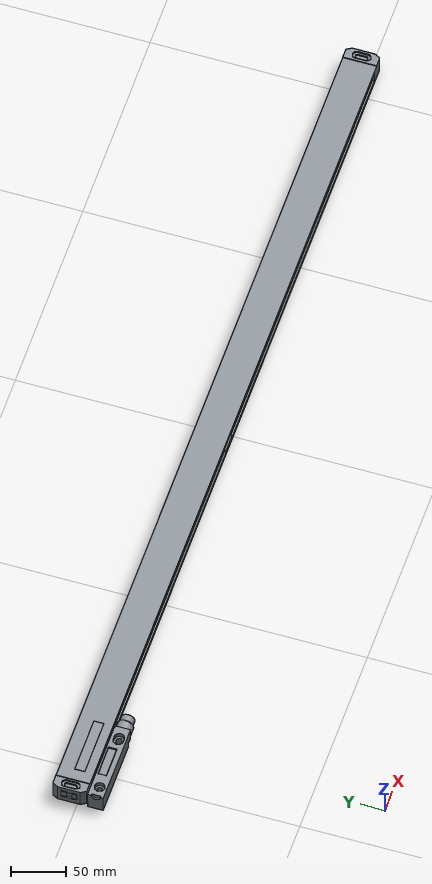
import cadquery as cq

TOTAL_LENGTH = 875.0
TOTAL_WIDTH = 49.0
HEIGHT = 18.0
HOUSING_WIDTH = 32.0
HOUSING_MIDDLE = HOUSING_WIDTH / 2
MID_HEIGHT = HEIGHT / 2

CAP_LENGTH = 12.0
RAIL_DROP = 1.0
RAIL_LENGTH = TOTAL_LENGTH - 2 * CAP_LENGTH
RAIL_TOP = HEIGHT - RAIL_DROP

CHANNEL_INSET = 18.0
CHANNEL_LENGTH = TOTAL_LENGTH - 2 * CHANNEL_INSET
CHANNEL_DEPTH = 2.0
LIP_HEIGHT = 3.5
TAB_LENGTH = 17.5
TAB_HEIGHT = 3.0
UPPER_TAB_START = 810.0
LOWER_TAB_START = 416.5

CAP_CORNER_LENGTH = 3.1
CAP_CORNER_WIDTH = 5.0
SLOT_SPAN = 17.5
SLOT_WIDTH = 8.0
SLOT_DEPTH = 2.0
INNER_SLOT_SPAN = 12.0
INNER_SLOT_WIDTH = 4.0
INNER_SLOT_DEPTH = 3.5
RECESS_SPAN = 15.0
RECESS_HEIGHT = 8.0
RECESS_DEPTH = 1.0
INNER_RECESS_SPAN = 5.0
INNER_RECESS_DEPTH = 2.0

LABEL_START = 24.5
LABEL_LENGTH = 57.0
LABEL_WIDTH = 10.0
LABEL_FRONT = 9.0
LABEL_DEPTH = 0.4

HEAD_GAP = 2.0
HEAD_LENGTH = 81.0
HEAD_FRONT = HOUSING_WIDTH - TOTAL_WIDTH
HEAD_BACK = -HEAD_GAP
HEAD_WIDTH = HEAD_BACK - HEAD_FRONT
LEDGE_START = 25.0
LEDGE_LENGTH = 31.5
LEDGE_BACK = -3.5
LEDGE_WIDTH = 8.0
LEDGE_DEPTH = 2.0
FOOT_LENGTH = 6.0
FOOT_HEIGHT = 5.0
NOTCH_RADIUS = 4.0
NOTCH_DEPTH = 2.0

SCREW_Y = -10.0
ROUND_SCREW_X = 11.0
SLOTTED_SCREW_X = 68.0
SCREW_DIAMETER = 5.0
SEAT_DIAMETER = 10.0
SEAT_DEPTH = 4.0
SLOT_TRAVEL = 3.0

OUTLET_Y = -9.0
GLAND_DIAMETER = 16.0
GLAND_LENGTH = 10.0
CABLE_DIAMETER = 13.0
CABLE_LENGTH = 8.0


def block(x, y, z, length, width, height):
    """Box with its lowest corner at the given point."""
    return cq.Workplane("XY").box(length, width, height, centered=False).translate((x, y, z))


def cap_slot(span, width, depth):
    """Round-ended slot across the cap, sunk from its top face."""
    top = cq.Workplane("XY", origin=(CAP_LENGTH / 2, HOUSING_MIDDLE, HEIGHT))
    return top.slot2D(span, width, 90).extrude(-depth)


def make_left_cap():
    cap = block(0, 0, 0, CAP_LENGTH, HOUSING_WIDTH, HEIGHT)
    corner = (
        cq.Workplane("XY")
        .polyline([(0, 0), (CAP_CORNER_LENGTH, 0), (0, CAP_CORNER_WIDTH)])
        .close()
        .extrude(HEIGHT)
    )
    cap = cap.cut(corner).cut(corner.mirror("XZ", (0, HOUSING_MIDDLE, 0)))
    cap = cap.cut(cap_slot(SLOT_SPAN, SLOT_WIDTH, SLOT_DEPTH))
    cap = cap.cut(cap_slot(INNER_SLOT_SPAN, INNER_SLOT_WIDTH, INNER_SLOT_DEPTH))
    end = cq.Workplane("YZ", origin=(0, HOUSING_MIDDLE, MID_HEIGHT))
    recess = end.rect(RECESS_SPAN, RECESS_HEIGHT).extrude(RECESS_DEPTH)
    inner_recess = end.rect(INNER_RECESS_SPAN, RECESS_HEIGHT).extrude(INNER_RECESS_DEPTH)
    return cap.cut(recess).cut(inner_recess)


def make_channel():
    """Material removed from the front face, leaving the lips and their tabs."""
    channel = block(
        CHANNEL_INSET, 0, LIP_HEIGHT,
        CHANNEL_LENGTH, CHANNEL_DEPTH, HEIGHT - 2 * LIP_HEIGHT,
    )
    upper_tab_bottom = HEIGHT - LIP_HEIGHT - TAB_HEIGHT
    upper_tab = block(UPPER_TAB_START, 0, upper_tab_bottom, TAB_LENGTH, CHANNEL_DEPTH, TAB_HEIGHT)
    lower_tab = block(LOWER_TAB_START, 0, LIP_HEIGHT, TAB_LENGTH, CHANNEL_DEPTH, TAB_HEIGHT)
    return channel.cut(upper_tab).cut(lower_tab)


def make_scale_housing():
    rail = block(CAP_LENGTH, 0, 0, RAIL_LENGTH, HOUSING_WIDTH, RAIL_TOP)
    label = block(LABEL_START, LABEL_FRONT, RAIL_TOP - LABEL_DEPTH, LABEL_LENGTH, LABEL_WIDTH, LABEL_DEPTH)
    left_cap = make_left_cap()
    right_cap = left_cap.mirror("YZ", (TOTAL_LENGTH / 2, 0, 0))
    return rail.cut(label).union(left_cap).union(right_cap).cut(make_channel())


def screw_opening(x, diameter, travel, depth):
    """Vertical opening sunk from the top of the head, lengthened along X by the travel."""
    top = cq.Workplane("XY", origin=(x, SCREW_Y, HEIGHT))
    if travel == 0:
        return top.circle(diameter / 2).extrude(-depth)
    return top.slot2D(diameter + travel, diameter).extrude(-depth)


def make_head_block():
    head = block(0, HEAD_FRONT, 0, HEAD_LENGTH, HEAD_WIDTH, HEIGHT)
    ledge = block(
        LEDGE_START, LEDGE_BACK - LEDGE_WIDTH, HEIGHT - LEDGE_DEPTH,
        LEDGE_LENGTH, LEDGE_WIDTH, LEDGE_DEPTH,
    )
    foot = block(HEAD_LENGTH - FOOT_LENGTH, HEAD_FRONT, 0, FOOT_LENGTH, HEAD_WIDTH, FOOT_HEIGHT)
    notch = cq.Workplane("YZ", origin=(0, SCREW_Y, HEIGHT)).circle(NOTCH_RADIUS).extrude(NOTCH_DEPTH)
    head = head.cut(ledge).cut(foot).cut(notch)
    for x, travel in ((ROUND_SCREW_X, 0), (SLOTTED_SCREW_X, SLOT_TRAVEL)):
        head = head.cut(screw_opening(x, SCREW_DIAMETER, travel, HEIGHT))
        head = head.cut(screw_opening(x, SEAT_DIAMETER, travel, SEAT_DEPTH))
    return head


def make_reading_head():
    outlet = cq.Workplane("YZ", origin=(HEAD_LENGTH, OUTLET_Y, MID_HEIGHT))
    gland = outlet.circle(GLAND_DIAMETER / 2).extrude(GLAND_LENGTH)
    cable = outlet.circle(CABLE_DIAMETER / 2).extrude(GLAND_LENGTH + CABLE_LENGTH)
    return make_head_block().union(gland).union(cable)


scale_housing = make_scale_housing()
reading_head = make_reading_head()

result = cq.Compound.makeCompound([scale_housing.val(), reading_head.val()])